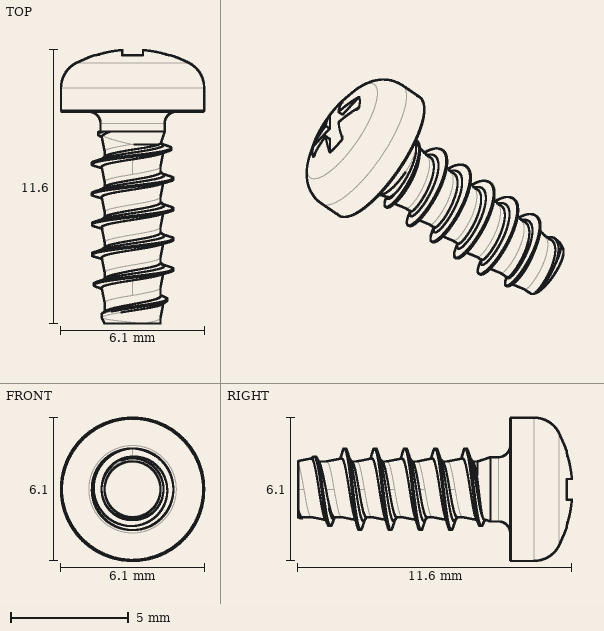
import cadquery as cq
import math


head_radius = 3.05
rim_height = 1.015
rim_chamfer = 0.05
shoulder_radius = 1.2
dome_radius = 5.2

slot_width = 0.87
slot_floor = 2.41
slot_length = 2 * head_radius

length = 9.0
neck_radius = 1.37
neck_fillet = 0.49
neck_end = -0.84
cone_end = -1.38
core_radius = 1.19
tip_dish_radius = 1.15
tip_dish_depth = 0.11
tip_cone_slope = 0.5

pitch = 1.285
full_top = -1.88
full_top_angle = -90
full_turns = 4
fade_turns = 1.22
tip_turns = 0.6
points_per_turn = 16

crest_radius = 1.735
crest_half_width = 0.03
knee_radius = 1.35
knee_height = 0.145
upper_foot_height = 0.275
root_radius = 1.315
root_height = -0.14
taper_end_height = -(pitch - 0.51)
faded_knee_radius = 1.12
buried_radius = 1.1
buried_taper_radius = 1.18
joining_tolerance = 1e-4


def make_head():
    arc_offset = head_radius - shoulder_radius
    tangent_angle = math.acos(arc_offset / (dome_radius - shoulder_radius))
    dome_center = rim_height - arc_offset * math.tan(tangent_angle)
    dome_edge = (dome_radius * math.cos(tangent_angle), dome_center + dome_radius * math.sin(tangent_angle))
    half_angle = tangent_angle / 2
    shoulder_middle = (
        arc_offset + shoulder_radius * math.cos(half_angle),
        rim_height + shoulder_radius * math.sin(half_angle),
    )
    dome_angle = (tangent_angle + math.pi / 2) / 2
    dome_middle = (dome_radius * math.cos(dome_angle), dome_center + dome_radius * math.sin(dome_angle))
    head = (
        cq.Workplane("XZ")
        .lineTo(head_radius - rim_chamfer, 0)
        .lineTo(head_radius, rim_chamfer)
        .lineTo(head_radius, rim_height)
        .threePointArc(shoulder_middle, dome_edge)
        .threePointArc(dome_middle, (0, dome_center + dome_radius))
        .close()
        .revolve(360, (0, 0), (0, 1))
    )
    slot = cq.Workplane("XY").workplane(offset=slot_floor)
    head = head.cut(slot.rect(slot_length, slot_width).extrude(head_radius))
    return head.cut(slot.rect(slot_width, slot_length).extrude(head_radius))


def make_shank():
    fillet_center = neck_radius + neck_fillet
    fillet_reach = neck_fillet * math.sin(math.pi / 4)
    return (
        cq.Workplane("XZ")
        .moveTo(0, rim_height)
        .lineTo(fillet_center, rim_height)
        .lineTo(fillet_center, 0)
        .threePointArc((fillet_center - fillet_reach, fillet_reach - neck_fillet), (neck_radius, -neck_fillet))
        .lineTo(neck_radius, neck_end)
        .lineTo(core_radius, cone_end)
        .lineTo(core_radius, -length)
        .lineTo(0, -length)
        .close()
        .revolve(360, (0, 0), (0, 1))
    )


def thread_section(fade):
    """(radius, height) corners of the thread; fade runs from 0, full, to 1, only the root left."""

    def blend(full, faded):
        return full + fade * (faded - full)

    upper_slope = (upper_foot_height - knee_height) / (knee_radius - core_radius)
    taper_slope = (root_height - taper_end_height) / (root_radius - core_radius)
    knee_now = blend(knee_radius, faded_knee_radius)
    crest_now = blend(crest_radius, root_radius)
    taper_bottom = taper_end_height - (core_radius - buried_taper_radius) * taper_slope
    return [
        (buried_radius, knee_height + (knee_now - buried_radius) * upper_slope),
        (knee_now, knee_height),
        (crest_now, crest_half_width),
        (crest_now, -crest_half_width),
        (root_radius, root_height),
        (buried_taper_radius, taper_bottom),
        (buried_radius, taper_bottom),
    ]


def placed_section(turn, fade):
    """Thread section at a number of turns above the lower end of the full thread."""
    angle = math.radians(full_top_angle) + 2 * math.pi * turn
    rise = full_top + (turn - full_turns) * pitch
    return [
        cq.Vector(radius * math.cos(angle), radius * math.sin(angle), rise + height)
        for radius, height in thread_section(fade)
    ]


def thread_faces(start, end, start_fade, end_fade):
    """Side faces of one stretch of thread, one for each side of the section."""
    steps = math.ceil((end - start) * points_per_turn)
    fractions = [step / steps for step in range(steps + 1)]
    sections = [
        placed_section(start + part * (end - start), start_fade + part * (end_fade - start_fade))
        for part in fractions
    ]
    edges = [cq.Edge.makeSpline(list(corner), parameters=fractions) for corner in zip(*sections)]
    return [cq.Face.makeRuledSurface(edges[index - 1], edges[index]) for index in range(len(edges))]


def make_thread():
    tip = -fade_turns - tip_turns
    top = full_turns + fade_turns
    stretches = [
        (tip, -fade_turns, 1, 1),
        (-fade_turns, 0, 1, 0),
        (0, full_turns, 0, 0),
        (full_turns, top, 0, 1),
    ]
    faces = [face for stretch in stretches for face in thread_faces(*stretch)]
    for turn in (tip, top):
        outline = cq.Wire.makePolygon(placed_section(turn, 1), close=True)
        faces.append(cq.Face.makeFromWires(outline))
    body = cq.Workplane(cq.Solid.makeSolid(cq.Shell.makeShell(faces)))
    cone_top = (head_radius - core_radius) / tip_cone_slope - length
    envelope = (
        cq.Workplane("XZ")
        .moveTo(0, -length)
        .lineTo(core_radius, -length)
        .lineTo(head_radius, cone_top)
        .lineTo(head_radius, neck_end)
        .lineTo(0, neck_end)
        .close()
        .revolve(360, (0, 0), (0, 1))
    )
    return body.intersect(envelope)


def make_tip_dish():
    return (
        cq.Workplane("XZ")
        .moveTo(0, -length)
        .lineTo(tip_dish_radius, -length)
        .lineTo(0, tip_dish_depth - length)
        .close()
        .revolve(360, (0, 0), (0, 1))
    )


screw = make_shank().union(make_thread(), tol=joining_tolerance).union(make_head()).cut(make_tip_dish())

result = screw.rotate((0, 0, 0), (1, 0, 0), -90)